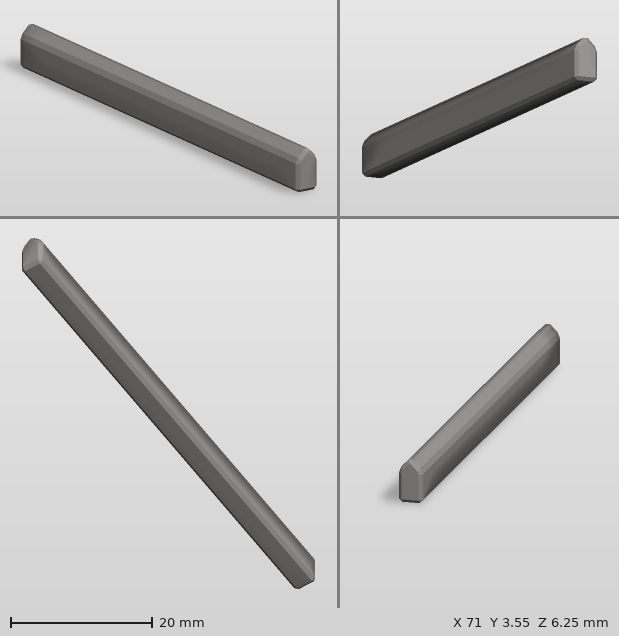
import cadquery as cq
import math

length = 71.0
width = 3.55
height = 6.25
edge_chamfer = 0.5
roof_angle = math.radians(45)

apex_height = height + edge_chamfer * math.sin(roof_angle)
eaves_height = apex_height - width / 2 * math.tan(roof_angle)

profile = (
    cq.Workplane("YZ")
    .moveTo(-width / 2, 0)
    .lineTo(width / 2, 0)
    .lineTo(width / 2, eaves_height)
    .lineTo(0, apex_height)
    .lineTo(-width / 2, eaves_height)
    .close()
)

sharp_bar = profile.extrude(length / 2, both=True)
result = sharp_bar.edges().chamfer(edge_chamfer)